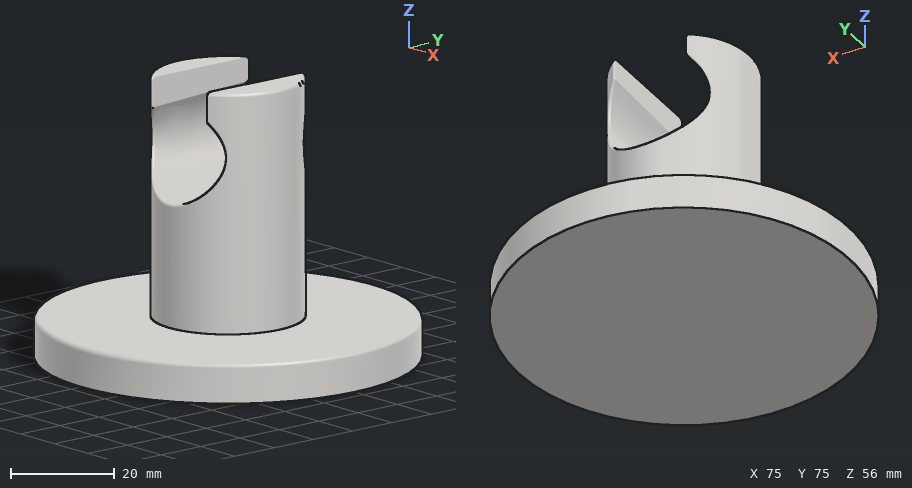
import cadquery as cq

base_diameter = 75.0
base_thickness = 8.0
base_rim_radius = 1.0

post_diameter = 30.0
post_radius = post_diameter / 2
post_rim_radius = 1.0
total_height = 56.0

cradle_height = 43.0
cradle_front_radius = 10.35
cradle_back_radius = 11.4

slot_width = 16.0

mouth_edge_radius = 0.5
slot_edge_radius = 0.3


def make_base():
    plate = cq.Workplane("XY").circle(base_diameter / 2).extrude(base_thickness)
    return plate.faces(">Z").edges().fillet(base_rim_radius)


def make_cradle():
    """Cone along Y that spans the full depth of the post."""
    return cq.Solid.makeCone(
        cradle_front_radius,
        cradle_back_radius,
        post_diameter,
        pnt=cq.Vector(0, -post_radius, cradle_height),
        dir=cq.Vector(0, 1, 0),
    )


def make_slot():
    return (
        cq.Workplane("XY", origin=(0, 0, cradle_height))
        .rect(slot_width, post_diameter)
        .extrude(total_height - cradle_height)
    )


def round_mouths(post):
    """Round the two curved edges where the cradle breaks out of the post."""
    half_width = slot_width / 4
    around_mid_plane = cq.selectors.BoxSelector(
        (-half_width, -post_diameter, base_thickness),
        (half_width, post_diameter, total_height),
    )
    return post.edges(around_mid_plane).fillet(mouth_edge_radius)


def round_slot_edges(post):
    """Round the long top edges of the slot and the upright edges at its ends."""
    return post.faces(">Z").edges("|Y").fillet(slot_edge_radius)


def make_post():
    post = cq.Workplane("XY").circle(post_radius).extrude(total_height)
    post = post.faces(">Z").edges().fillet(post_rim_radius)
    post = post.cut(make_cradle()).cut(make_slot())
    return round_slot_edges(round_mouths(post))


result = make_base().union(make_post()).solids()